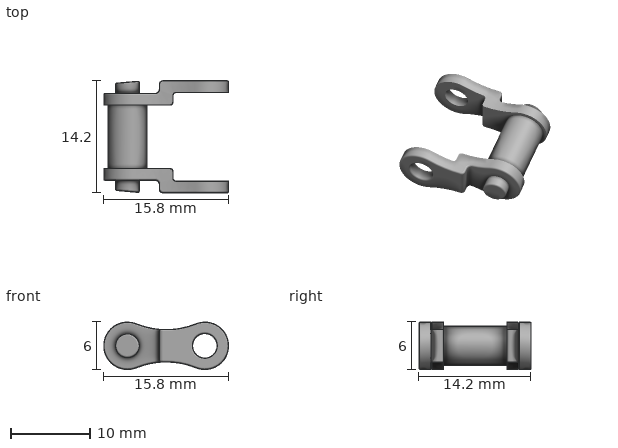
import cadquery as cq
import math


pitch = 9.79
end_radius = 3.0
waist_radius = 10.0
hole_radius = 1.55

overall_width = 14.2
plate_thickness = 1.5
crank_offset = 1.6
crank_wall = 1.74
outer_bend_radius = 0.5
inner_bend_radius = 0.4
rim_round = 0.2

roller_radius = 2.5
pin_radius = 1.5
pin_half_length = 6.92
pin_end_slope = 5.0

pin_x = -pitch / 2
hole_x = pitch / 2
plate_end_x = hole_x + end_radius

hole_outer_y = overall_width / 2
hole_inner_y = hole_outer_y - plate_thickness
pin_outer_y = hole_outer_y - crank_offset
pin_inner_y = hole_inner_y - crank_offset


def cylinder_along_y(x, radius, length):
    """Cylinder that starts on the middle plane and runs towards +Y."""
    return cq.Workplane("XZ").center(x, 0).circle(radius).extrude(-length)


def region(x_min, x_max, y_min):
    """Selector for everything between two X positions and beyond one Y position."""
    return cq.selectors.BoxSelector((x_min, y_min, -end_radius), (x_max, overall_width, end_radius))


def plate_outline():
    """Waisted outline in XZ, extruded along Y past the whole crank."""
    waist_center_z = math.sqrt((end_radius + waist_radius) ** 2 - (pitch / 2) ** 2)
    waist_z = waist_center_z - waist_radius
    tangent_fraction = end_radius / (end_radius + waist_radius)
    tangent_x = hole_x * (1 - tangent_fraction)
    tangent_z = waist_center_z * tangent_fraction
    return (
        cq.Workplane("XZ")
        .moveTo(-tangent_x, tangent_z)
        .threePointArc((0, waist_z), (tangent_x, tangent_z))
        .threePointArc((plate_end_x, 0), (tangent_x, -tangent_z))
        .threePointArc((0, -waist_z), (-tangent_x, -tangent_z))
        .threePointArc((-plate_end_x, 0), (-tangent_x, tangent_z))
        .close()
        .extrude(-overall_width)
    )


def crank_profile():
    """Stepped plate section in XY with rounded bends, extruded along Z."""
    wall_x = crank_wall / 2
    profile = (
        cq.Workplane("XY")
        .polyline([
            (-plate_end_x, pin_inner_y),
            (wall_x, pin_inner_y),
            (wall_x, hole_inner_y),
            (plate_end_x, hole_inner_y),
            (plate_end_x, hole_outer_y),
            (-wall_x, hole_outer_y),
            (-wall_x, pin_outer_y),
            (-plate_end_x, pin_outer_y),
        ])
        .close()
        .extrude(end_radius, both=True)
    )

    profile = profile.edges("|Z").edges(region(-crank_wall, 0, 0)).fillet(outer_bend_radius)
    return profile.edges("|Z").edges(region(0, crank_wall, 0)).fillet(inner_bend_radius)


def cranked_plate():
    """Plate on the +Y side, with all its outward edges rounded."""
    plate = crank_profile().intersect(plate_outline())
    plate = plate.cut(cylinder_along_y(hole_x, hole_radius, overall_width))

    pin_side = region(-plate_end_x, 0, (pin_inner_y + pin_outer_y) / 2)
    hole_side = region(-plate_end_x, plate_end_x, (hole_inner_y + hole_outer_y) / 2)
    return plate.edges("not (|Z or |Y)").edges(pin_side + hole_side).fillet(rim_round)


def half_pin():
    """Pin from the middle plane to its slanted, rounded +Y end."""
    rise = pin_radius * math.tan(math.radians(pin_end_slope))
    side_section = (
        cq.Workplane("XY")
        .polyline([
            (pin_x - pin_radius, 0),
            (pin_x + pin_radius, 0),
            (pin_x + pin_radius, pin_half_length + rise),
            (pin_x - pin_radius, pin_half_length - rise),
        ])
        .close()
        .extrude(pin_radius, both=True)
    )
    rod = cylinder_along_y(pin_x, pin_radius, overall_width)
    return rod.intersect(side_section).edges(">Y").fillet(rim_round)


half_roller = cylinder_along_y(pin_x, roller_radius, pin_inner_y)
half_link = cranked_plate().union(half_pin()).union(half_roller)
result = half_link.union(half_link.mirror("XZ")).clean()